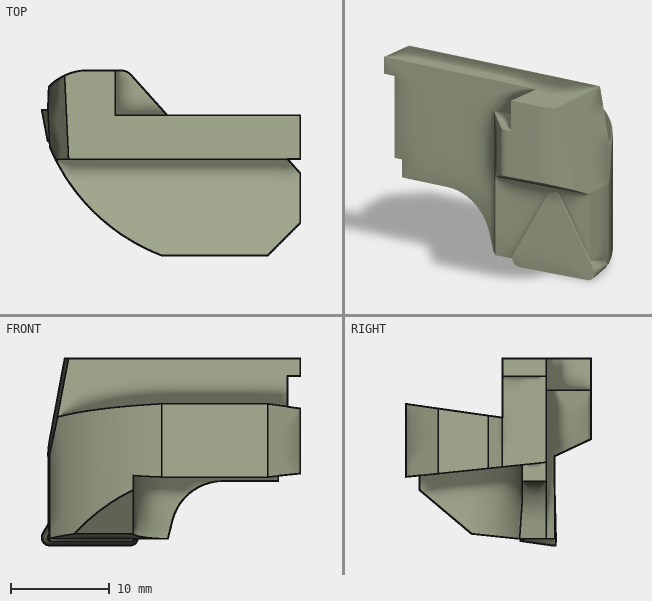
import cadquery as cq
import math

length = 26.25
depth = 18.8
height = 19.0
overrun = 2.62

face_front = (0.81, 11.02)
face_tilt = 2.7
face_rear_y = 16.92
corner_mid = (2.35, 18.3)
corner_end_x = 4.2
front_arc_mid = (5.5, 4.2)
front_flat_start_x = 12.18
front_flat_end_x = 22.93
right_chamfer_y = 3.3
bar_front_y = 9.8
bar_rear_y = 14.25
lug_end_x = 8.65
lug_foot_x = 12.73
lug_corner_radius = 2.8 / 2
lug_step_x = 7.48
lug_step_z = 15.75

shelf_front_z = 14.38
shelf_rear_z = 13.0
plate_bottom_z = 6.95
plate_bottom_angle = 6.0
face_break_z = 9.25
face_lean = 10.8

hook_z = 17.2
hook_x = 24.95
hook_chamfer_y = 8.35

relief_x = 9.32
relief_radius = 5.17
relief_rear_y = 11.8
relief_step_x = 24.0

belly_top = (1.3, 5.7)
belly_foot = (6.66, 1.18)
sole_rear = (11.41, 0.68)

stem_ceiling_z = 6.53
stem_arc_x = 18.37
stem_arc_radius = 5.25
stem_lean = 14.0

insert_rear_y = 14.77
insert_thickness = 3.2
insert_proud = 0.25
insert_span = 9.8
insert_nose_radius = 0.81
insert_taper = 8.0
rear_slope_top_z = 10.86
rear_slope_foot_z = 9.05


def rise(run, angle):
    return run * math.tan(math.radians(angle))


def extrude_x(points):
    """Prism along X from a (Y, Z) polygon."""
    return (cq.Workplane("YZ", origin=(-overrun, 0, 0)).polyline(points).close()
            .extrude(length + 2 * overrun))


def tilt_to_seat(shape):
    """Turn a shape about the insert nose so that it follows the tilted seat."""
    return shape.rotate((0, insert_rear_y, 0), (0, insert_rear_y, 1), face_tilt)


def blank():
    face_rear_x = face_front[0] - rise(face_rear_y - face_front[1], face_tilt)
    body = (
        cq.Workplane("XY")
        .moveTo(front_flat_start_x, 0)
        .lineTo(front_flat_end_x, 0)
        .lineTo(length, right_chamfer_y)
        .lineTo(length, bar_rear_y)
        .lineTo(lug_foot_x, bar_rear_y)
        .lineTo(lug_end_x, depth)
        .lineTo(corner_end_x, depth)
        .threePointArc(corner_mid, (face_rear_x, face_rear_y))
        .lineTo(*face_front)
        .threePointArc(front_arc_mid, (front_flat_start_x, 0))
        .close()
        .extrude(height)
    )
    lug_corner = cq.selectors.NearestToPointSelector((lug_end_x, depth, height / 2))
    return body.edges(lug_corner).fillet(lug_corner_radius)


def above_shelf():
    front_y = -overrun
    front_z = shelf_front_z + overrun * (shelf_front_z - shelf_rear_z) / bar_front_y
    top_z = height + overrun
    return extrude_x([(front_y, front_z), (bar_front_y, shelf_rear_z), (bar_front_y, top_z), (front_y, top_z)])


def above_lug():
    cut = cq.Workplane("XY").box(length, depth, height, centered=False)
    return cut.translate((lug_step_x, bar_rear_y, lug_step_z))


def left_face_lean():
    top_z = height + overrun
    cut = (
        cq.Workplane("XZ", origin=(0, depth + overrun, 0))
        .polyline([(0, face_break_z), (rise(top_z - face_break_z, face_lean), top_z),
                   (-overrun, top_z), (-overrun, face_break_z)])
        .close()
        .extrude(depth + 2 * overrun)
    )
    x, y = face_front
    return cut.translate((x, 0, 0)).rotate((x, y, 0), (x, y, 1), face_tilt)


def hook_groove():
    far_x = length + overrun
    far_y = depth + overrun
    return (
        cq.Workplane("XY")
        .polyline([(length, hook_chamfer_y), (hook_x, bar_front_y), (hook_x, far_y),
                   (far_x, far_y), (far_x, hook_chamfer_y)])
        .close()
        .extrude(hook_z)
    )


def plate_relief():
    far_x = length + overrun
    far_y = depth + overrun
    fillet_x = relief_x + relief_radius
    fillet_y = relief_rear_y - relief_radius
    diagonal = relief_radius * math.sqrt(0.5)
    plan = (
        cq.Workplane("XY", origin=(0, 0, -overrun))
        .moveTo(relief_x, -overrun)
        .lineTo(relief_x, fillet_y)
        .threePointArc((fillet_x - diagonal, fillet_y + diagonal), (fillet_x, relief_rear_y))
        .lineTo(relief_step_x, relief_rear_y)
        .lineTo(relief_step_x, far_y)
        .lineTo(far_x, far_y)
        .lineTo(far_x, -overrun)
        .close()
        .extrude(height)
    )
    under_plate = extrude_x([
        (-overrun, -overrun),
        (-overrun, plate_bottom_z - rise(overrun, plate_bottom_angle)),
        (far_y, plate_bottom_z + rise(far_y, plate_bottom_angle)),
        (far_y, -overrun),
    ])
    return plan.intersect(under_plate)


def below_sole():
    slope = (belly_top[1] - belly_foot[1]) / (belly_foot[0] - belly_top[0])
    front_z = belly_top[1] + slope * (belly_top[0] + overrun)
    far_y = depth + overrun
    return extrude_x([(-overrun, front_z), belly_foot, sole_rear, (far_y, sole_rear[1]),
                      (far_y, -overrun), (-overrun, -overrun)])


def beside_stem():
    center_z = stem_ceiling_z - stem_arc_radius

    def arc_point(angle):
        turn = math.radians(angle)
        return (stem_arc_x + stem_arc_radius * math.cos(turn), center_z + stem_arc_radius * math.sin(turn))

    arc_end_angle = 180 - stem_lean
    foot = arc_point(arc_end_angle)
    far_x = length + overrun
    return (
        cq.Workplane("XZ", origin=(0, depth + overrun, 0))
        .moveTo(far_x, stem_ceiling_z)
        .lineTo(stem_arc_x, stem_ceiling_z)
        .threePointArc(arc_point((90 + arc_end_angle) / 2), foot)
        .lineTo(foot[0] - rise(foot[1] + overrun, stem_lean), -overrun)
        .lineTo(far_x, -overrun)
        .close()
        .extrude(depth + 2 * overrun)
    )


def behind_seat():
    seat_y = insert_rear_y - insert_proud
    slope = (rear_slope_top_z - rear_slope_foot_z) / (depth - insert_rear_y)
    far_y = depth + overrun
    far_z = rear_slope_foot_z + slope * (far_y - seat_y)
    return tilt_to_seat(extrude_x([(seat_y, -overrun), (seat_y, rear_slope_foot_z),
                                   (far_y, far_z), (far_y, -overrun)]))


def make_insert():
    """Triangular insert, largest at its rear face."""
    side = insert_span - 2 * insert_nose_radius
    left = insert_nose_radius
    apex_z = insert_nose_radius + side * math.sqrt(3) / 2
    rear_outline = (
        cq.Workplane("XZ", origin=(0, insert_rear_y, 0))
        .polyline([(left, insert_nose_radius), (left + side, insert_nose_radius), (left + side / 2, apex_z)])
        .close()
        .offset2D(insert_nose_radius)
    )
    return tilt_to_seat(rear_outline.extrude(insert_thickness, taper=insert_taper))


def make_holder(insert):
    holder = blank()
    for cut in (above_shelf(), above_lug(), left_face_lean(), hook_groove(), plate_relief(),
                below_sole(), beside_stem(), behind_seat(), insert):
        holder = holder.cut(cut)
    return holder


insert = make_insert()
holder = make_holder(insert).solids()
result = cq.Compound.makeCompound([holder.val(), insert.val()])